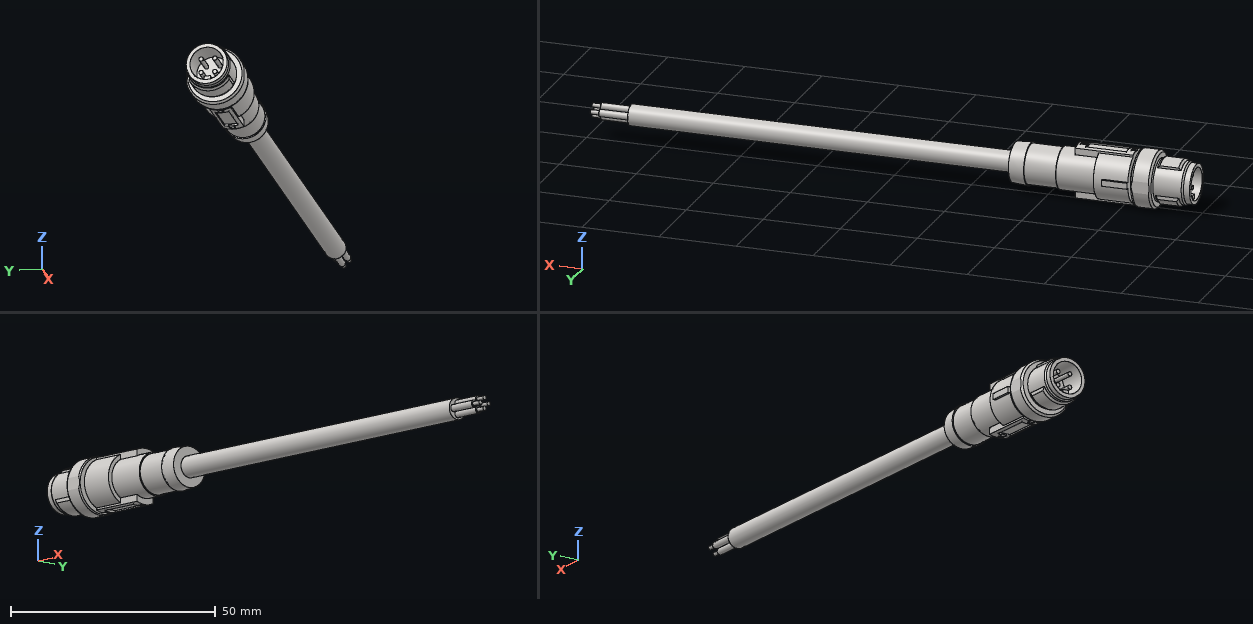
import cadquery as cq

STEP_X = 1.5
RING_X0 = 9.4
RING_X1 = 14.6
GRIP_X0 = 15.5
GRIP_X1 = 24.5
SHELL_X1 = 34.7
FLANGE_X0 = 43.0
FLANGE_X1 = 47.0
CABLE_X1 = 146.8
INSULATION_X1 = 154.5
LENGTH = 156.8

LIP_R = 5.2
NOSE_R = 5.5
RING_R = 7.4
NECK_R = 4.7
GRIP_R = 6.6
SHELL_R = 5.5
SLEEVE_R = 5.2
FLANGE_R = 5.5
CABLE_R = 2.75

STEP_RUN = 0.5
RING_FRONT_CHAMFER = 0.55
RING_REAR_RUN = 0.5
RING_REAR_DROP = 0.24
RING_FLAT_Y = 7.2

SOCKET_R = 4.15
SOCKET_DEPTH = 7.8
PIN_R = 0.55
PIN_OFFSET = 1.7
PIN_X0 = 1.5
KEY_X0 = 0.8
KEY_WIDTH = 1.5
KEY_TOP_Z = -3.0

TAB_R = 6.0
TAB_X0 = 2.8
TAB_X1 = 9.0
TAB_SLOPE_RUN = 0.6
UPPER_TAB_WIDTH = 6.7
LOWER_TAB_WIDTH = 9.9

RIB_R = 7.0
RIB_WIDTH = 5.3
RIB_X1 = 30.5
POCKET_X0 = 17.5
POCKET_X1 = 28.2
POCKET_WIDTH = 3.5
POCKET_FLOOR_Z = 6.5
NOTCH_WIDTH = 1.4
NOTCH_FLOOR_Z = 6.7
FRONT_NOTCH_X1 = 16.8
REAR_NOTCH_X1 = 30.0

MARKER_Y = 7.2
MARKER_WIDTH = 1.5
MARKER_X1 = 22.1

WIRE_OFFSET = 1.33
WIRE_R = 0.91
CONDUCTOR_R = 0.55

CORNERS = [(1, 1), (1, -1), (-1, 1), (-1, -1)]
CROSS = [(1, 0), (-1, 0), (0, 1), (0, -1)]


def revolve_about_x(points):
    """Turn an (x, radius) outline around the X axis."""
    return cq.Workplane("XY").polyline(points).close().revolve(360, (0, 0, 0), (1, 0, 0))


def rod(x0, x1, radius, y=0, z=0):
    """Round bar parallel to X."""
    return cq.Workplane("YZ", origin=(x0, 0, 0)).center(y, z).circle(radius).extrude(x1 - x0)


def block(x0, x1, width, z0, z1):
    """Box centred on Y = 0."""
    size = (x1 - x0, width, z1 - z0)
    return cq.Workplane("XY").box(*size, centered=(False, True, False)).translate((x0, 0, z0))


def turn_about_x(shape, angle):
    """Rotate a shape around the cable axis."""
    return shape.rotate((0, 0, 0), (1, 0, 0), angle)


def make_body():
    """Nose, coupling ring, grip, shell, sleeve, flange and cable as one turned shape."""
    return revolve_about_x([
        (0, 0),
        (0, LIP_R),
        (STEP_X, LIP_R),
        (STEP_X + STEP_RUN, NOSE_R),
        (RING_X0, NOSE_R),
        (RING_X0, RING_R - RING_FRONT_CHAMFER),
        (RING_X0 + RING_FRONT_CHAMFER, RING_R),
        (RING_X1 - RING_REAR_RUN, RING_R),
        (RING_X1, RING_R - RING_REAR_DROP),
        (RING_X1, NECK_R),
        (GRIP_X0, NECK_R),
        (GRIP_X0, GRIP_R),
        (GRIP_X1, GRIP_R),
        (GRIP_X1, SHELL_R),
        (SHELL_X1, SHELL_R),
        (SHELL_X1, SLEEVE_R),
        (FLANGE_X0, SLEEVE_R),
        (FLANGE_X0, FLANGE_R),
        (FLANGE_X1, SLEEVE_R),
        (FLANGE_X1, CABLE_R),
        (CABLE_X1, CABLE_R),
        (CABLE_X1, 0),
    ])


def ring_flats():
    """Material outside the two flats on the +Y and -Y sides of the ring."""
    ring_space = block(RING_X0, RING_X1, 2 * RING_R, -RING_R, RING_R)
    kept = block(RING_X0, RING_X1, 2 * RING_FLAT_Y, -RING_R, RING_R)
    return ring_space.cut(kept)


def tab_band():
    """Slope-ended band around the nose, from which both tabs are taken."""
    return revolve_about_x([
        (TAB_X0, NECK_R),
        (TAB_X0, NOSE_R),
        (TAB_X0 + TAB_SLOPE_RUN, TAB_R),
        (TAB_X1 - TAB_SLOPE_RUN, TAB_R),
        (TAB_X1, NOSE_R),
        (TAB_X1, NECK_R),
    ])


def make_tabs():
    """Narrow tab on the +Z side and wide tab on the -Z side of the nose."""
    upper = block(TAB_X0, TAB_X1, UPPER_TAB_WIDTH, 0, TAB_R)
    lower = block(TAB_X0, TAB_X1, LOWER_TAB_WIDTH, -TAB_R, 0)
    return tab_band().intersect(upper.union(lower))


def make_label_rib():
    """Plain round-topped rib on the +Z side."""
    envelope = block(GRIP_X0, RIB_X1, RIB_WIDTH, NECK_R, RIB_R)
    return rod(GRIP_X0, RIB_X1, RIB_R).intersect(envelope)


def label_recesses():
    """Flat label pocket in the +Z rib, with a shallow notch at each of its ends."""
    pocket = block(POCKET_X0, POCKET_X1, POCKET_WIDTH, POCKET_FLOOR_Z, RIB_R)
    front_notch = block(GRIP_X0, FRONT_NOTCH_X1, NOTCH_WIDTH, NOTCH_FLOOR_Z, RIB_R)
    rear_notch = block(POCKET_X1, REAR_NOTCH_X1, NOTCH_WIDTH, NOTCH_FLOOR_Z, RIB_R)
    return pocket.union(front_notch).union(rear_notch)


def make_marker():
    """Small straight rib on the +Y side of the grip."""
    rib = block(GRIP_X0, MARKER_X1, MARKER_WIDTH, NECK_R, MARKER_Y)
    return turn_about_x(rib, -90)


def cut_socket(body):
    """Open the nose and leave the four pins and the key standing in it."""
    body = body.cut(rod(0, SOCKET_DEPTH, SOCKET_R))
    key = block(KEY_X0, SOCKET_DEPTH, KEY_WIDTH, -NECK_R, KEY_TOP_Z)
    body = body.union(key)
    for side_y, side_z in CORNERS:
        pin = rod(PIN_X0, RING_X0, PIN_R, side_y * PIN_OFFSET, side_z * PIN_OFFSET)
        body = body.union(pin)
    return body


def add_wires(body):
    """Four insulated wires set in a cross with bare conductor ends, rooted inside the cable."""
    root_x = CABLE_X1 - WIRE_R
    for side_y, side_z in CROSS:
        y = side_y * WIRE_OFFSET
        z = side_z * WIRE_OFFSET
        body = body.union(rod(root_x, INSULATION_X1, WIRE_R, y, z))
        body = body.union(rod(INSULATION_X1 - CONDUCTOR_R, LENGTH, CONDUCTOR_R, y, z))
    return body


result = make_body().cut(ring_flats()).union(make_tabs())
for turn in (0, 180):
    result = result.union(turn_about_x(make_label_rib(), turn))
    result = result.cut(turn_about_x(label_recesses(), turn))
result = result.union(make_marker())
result = cut_socket(result)
result = add_wires(result)